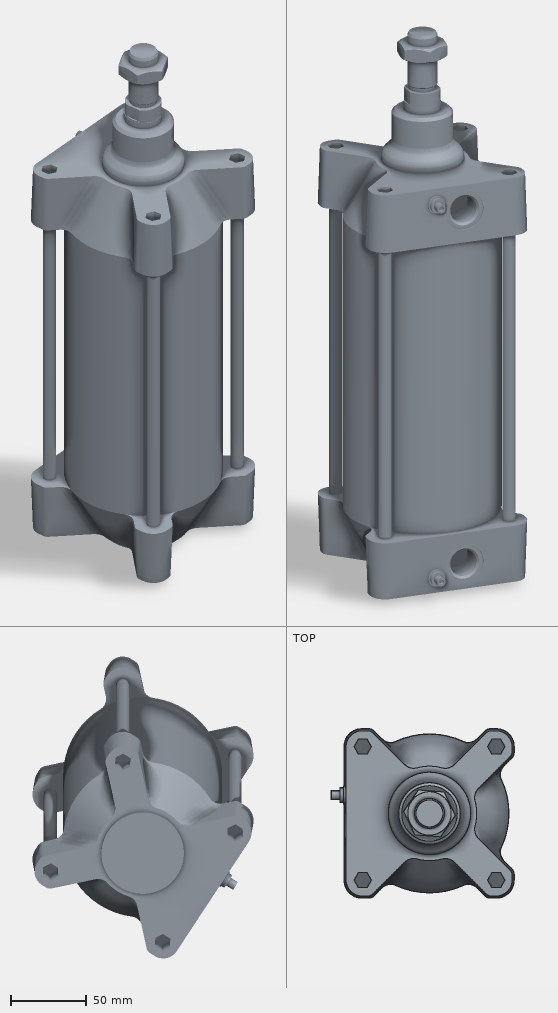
import cadquery as cq
import math


FACE_DISTANCE = 288.0
CAP_HEIGHT = 40.5
CAP_DRAFT = 2.0
CORNER_POS = 44.5
CORNER_R = 12.0
PORT_FACE_X = -57.0
ARM_HALF_WIDTH = 12.7
ARM_EDGE_R = 5.0
WEB_TOP_R = 31.5
WEB_FILLET_R = 7.5

TUBE_R = 106.0 / 2
TIE_ROD_R = 8.9 / 2
HEX_SIDES = 6
SOCKET_WIDTH = 10.0
SOCKET_DEPTH = 20.0

COLLAR_R = 55.0 / 2
REAR_COLLAR_HEIGHT = 4.0
FRONT_COLLAR_HEIGHT = 6.0
BARREL_R = 41.0 / 2
BARREL_TOP = 36.2
BARREL_CHAMFER = 2.0
SHOULDER_R = 5.0

PORT_Y = -8.0
PORT_INSET = 18.0
PORT_D = 18.6
PORT_MOUTH_D = 21.5
PORT_DEPTH = 18.0
SPOTFACE_D = 27.0
SPOTFACE_X = -55.65
SCREW_Y = 12.2
SCREW_INSET = 11.0
SCREW_STEPS = [(12.0, -57.4), (10.0, -59.7), (6.0, -65.5)]
SCREW_HOLE_D = 3.5
SCREW_HOLE_DEPTH = 3.0
SCREW_ROOT_X = -50.0

ROD_R = 25.0 / 2
ROD_NECK_R = 24.5 / 2
ROD_NECK_START = 41.0
ROD_SHOULDER = 51.0
FLATS_START = 42.0
FLATS_WIDTH = 22.0
UNDERCUT_R = 18.5 / 2
UNDERCUT_LENGTH = 2.5
THREAD_R = 20.0 / 2
THREAD_TIP_R = 18.0 / 2
THREAD_TIP_LENGTH = 2.0
ROD_TOP = 91.0

NUT_WIDTH = 30.0
NUT_HEIGHT = 10.0
NUT_BASE = 73.7
NUT_FACE_D = 29.0
NUT_ANGLE = -4.5
CHAMFER_ANGLE = 30.0


def across_corners(width):
    """Corner-to-corner size of a hexagon with the given width across flats."""
    return width / math.cos(math.pi / HEX_SIDES)


def cap_arms():
    """X-shaped block, filled on the -X side, wide end at z = 0."""
    flat = CORNER_POS + CORNER_R
    arm_offset = ARM_HALF_WIDTH * math.sqrt(2)
    arm_end = flat - arm_offset
    corner_mid = CORNER_POS + CORNER_R * math.sqrt(0.5)
    port_side_flat = flat + PORT_FACE_X
    outline = (
        cq.Workplane("XY")
        .moveTo(PORT_FACE_X, -CORNER_POS)
        .lineTo(PORT_FACE_X, CORNER_POS)
        .threePointArc((port_side_flat - corner_mid, corner_mid), (port_side_flat - CORNER_POS, flat))
        .lineTo(-arm_end, flat)
        .lineTo(0, arm_offset)
        .lineTo(arm_end, flat)
        .lineTo(CORNER_POS, flat)
        .threePointArc((corner_mid, corner_mid), (flat, CORNER_POS))
        .lineTo(flat, arm_end)
        .lineTo(arm_offset, 0)
        .lineTo(flat, -arm_end)
        .lineTo(flat, -CORNER_POS)
        .threePointArc((corner_mid, -corner_mid), (CORNER_POS, -flat))
        .lineTo(arm_end, -flat)
        .lineTo(0, -arm_offset)
        .lineTo(-arm_end, -flat)
        .lineTo(port_side_flat - CORNER_POS, -flat)
        .threePointArc((port_side_flat - corner_mid, -corner_mid), (PORT_FACE_X, -CORNER_POS))
        .close()
    )
    arms = outline.extrude(CAP_HEIGHT, taper=CAP_DRAFT)

    corner_flats = [
        (-arm_end, flat), (arm_end, flat), (flat, arm_end),
        (flat, -arm_end), (arm_end, -flat), (-arm_end, -flat),
    ]
    for x, y in corner_flats:
        edge = cq.selectors.NearestToPointSelector((x, y, CAP_HEIGHT / 2))
        arms = arms.edges(edge).fillet(ARM_EDGE_R)
    return arms


def conical_web():
    return (
        cq.Workplane("XZ")
        .polyline([(0, 0), (TUBE_R, 0), (WEB_TOP_R, CAP_HEIGHT), (0, CAP_HEIGHT)])
        .close()
        .revolve(360, (0, 0, 0), (0, 1, 0))
    )


def end_cap():
    """End cap with its wide end at z = 0 and its mounting face on top."""
    cap = cap_arms().union(conical_web())

    reach = (TUBE_R + WEB_TOP_R) / 2
    arm_angle = math.degrees(math.asin(ARM_HALF_WIDTH / reach))
    for valley in (0, 90, 270):
        for side in (-1, 1):
            angle = math.radians(valley + side * (45 - arm_angle))
            spot = (reach * math.cos(angle), reach * math.sin(angle), CAP_HEIGHT / 2)
            cap = cap.edges(cq.selectors.NearestToPointSelector(spot)).fillet(WEB_FILLET_R)

    sockets = (
        cq.Workplane("XY", origin=(0, 0, CAP_HEIGHT))
        .rect(2 * CORNER_POS, 2 * CORNER_POS, forConstruction=True)
        .vertices()
        .polygon(HEX_SIDES, across_corners(SOCKET_WIDTH))
        .extrude(-SOCKET_DEPTH)
    )
    cap = cap.cut(sockets).cut(air_port())
    return cap.union(cushion_screw())


def side_plane(x, y, inset):
    """Plane facing -X, on a fitting axis given by Y and inset from the mounting face."""
    return cq.Workplane(cq.Plane(origin=(x, y, CAP_HEIGHT - inset), xDir=(0, -1, 0), normal=(-1, 0, 0)))


def air_port():
    mouth = (PORT_MOUTH_D - PORT_D) / 2
    spotface = side_plane(SPOTFACE_X, PORT_Y, PORT_INSET).circle(SPOTFACE_D / 2).extrude(-PORT_FACE_X)
    bore = side_plane(SPOTFACE_X, PORT_Y, PORT_INSET).circle(PORT_D / 2).extrude(-PORT_DEPTH)
    countersink = (
        side_plane(SPOTFACE_X, PORT_Y, PORT_INSET).circle(PORT_MOUTH_D / 2).extrude(-mouth, taper=45)
    )
    return spotface.union(bore).union(countersink)


def cushion_screw():
    screw = cq.Workplane()
    for diameter, outer_x in SCREW_STEPS:
        step = side_plane(SCREW_ROOT_X, SCREW_Y, SCREW_INSET).circle(diameter / 2)
        screw = screw.add(step.extrude(SCREW_ROOT_X - outer_x))
    tip_x = SCREW_STEPS[-1][1]
    hole = side_plane(tip_x, SCREW_Y, SCREW_INSET).circle(SCREW_HOLE_D / 2).extrude(-SCREW_HOLE_DEPTH)
    return screw.combine().cut(hole)


def front_collar():
    """Collar, 45 degree shoulder and barrel, standing on z = 0, with the rod bore."""
    shoulder_top = FRONT_COLLAR_HEIGHT + COLLAR_R - BARREL_R
    profile = (
        cq.Workplane("XZ")
        .polyline([
            (0, 0),
            (COLLAR_R, 0),
            (COLLAR_R, FRONT_COLLAR_HEIGHT),
            (BARREL_R, shoulder_top),
            (BARREL_R, BARREL_TOP),
            (0, BARREL_TOP),
        ])
        .close()
    )
    collar = profile.revolve(360, (0, 0, 0), (0, 1, 0))
    for z in (FRONT_COLLAR_HEIGHT, shoulder_top):
        collar = collar.edges(cq.selectors.NearestToPointSelector((0, 0, z))).fillet(SHOULDER_R)
    collar = collar.faces(">Z").edges().chamfer(BARREL_CHAMFER)
    return collar.faces(">Z").workplane().hole(2 * ROD_R)


def build_housing():
    front_cap = end_cap().translate((0, 0, FACE_DISTANCE - CAP_HEIGHT))
    rear_cap = end_cap().mirror("XY").translate((0, 0, CAP_HEIGHT))
    tube_length = FACE_DISTANCE - 2 * CAP_HEIGHT
    tube_base = cq.Workplane("XY", origin=(0, 0, CAP_HEIGHT))
    tube = tube_base.circle(TUBE_R).extrude(tube_length)
    tie_rods = (
        tube_base.rect(2 * CORNER_POS, 2 * CORNER_POS, forConstruction=True)
        .vertices()
        .circle(TIE_ROD_R)
        .extrude(tube_length)
    )
    rear_collar = cq.Workplane("XY").circle(COLLAR_R).extrude(-REAR_COLLAR_HEIGHT)
    collar = front_collar().translate((0, 0, FACE_DISTANCE))
    return tube.union(tie_rods).union(front_cap).union(rear_cap).union(rear_collar).union(collar)


def build_piston_rod():
    thread_start = ROD_SHOULDER + UNDERCUT_LENGTH
    thread_run_out = thread_start + THREAD_R - UNDERCUT_R
    rod = (
        cq.Workplane("XZ")
        .polyline([
            (0, 0),
            (ROD_R, 0),
            (ROD_R, ROD_NECK_START),
            (ROD_NECK_R, ROD_NECK_START),
            (ROD_NECK_R, ROD_SHOULDER),
            (UNDERCUT_R, ROD_SHOULDER),
            (UNDERCUT_R, thread_start),
            (THREAD_R, thread_run_out),
            (THREAD_R, ROD_TOP - THREAD_TIP_LENGTH),
            (THREAD_TIP_R, ROD_TOP),
            (0, ROD_TOP),
        ])
        .close()
        .revolve(360, (0, 0, 0), (0, 1, 0))
    )
    for side in (-1, 1):
        flat = (
            cq.Workplane("XY", origin=(0, side * (FLATS_WIDTH / 2 + ROD_R), FLATS_START))
            .rect(2 * ROD_R, 2 * ROD_R)
            .extrude(ROD_SHOULDER - FLATS_START)
        )
        rod = rod.cut(flat)
    return rod.translate((0, 0, FACE_DISTANCE))


def build_nut():
    corner_d = across_corners(NUT_WIDTH)
    rise = (corner_d - NUT_FACE_D) / 2 * math.tan(math.radians(CHAMFER_ANGLE))
    hexagon = cq.Workplane("XY").polygon(HEX_SIDES, corner_d).extrude(NUT_HEIGHT)
    rounding = (
        cq.Workplane("XZ")
        .polyline([
            (0, 0),
            (NUT_FACE_D / 2, 0),
            (corner_d / 2, rise),
            (corner_d / 2, NUT_HEIGHT - rise),
            (NUT_FACE_D / 2, NUT_HEIGHT),
            (0, NUT_HEIGHT),
        ])
        .close()
        .revolve(360, (0, 0, 0), (0, 1, 0))
    )
    nut = hexagon.intersect(rounding).faces(">Z").workplane().hole(2 * THREAD_R)
    return nut.rotate((0, 0, 0), (0, 0, 1), NUT_ANGLE).translate((0, 0, FACE_DISTANCE + NUT_BASE))


housing = build_housing()
piston_rod = build_piston_rod()
nut = build_nut()

result = cq.Compound.makeCompound([housing.val(), piston_rod.val(), nut.val()])